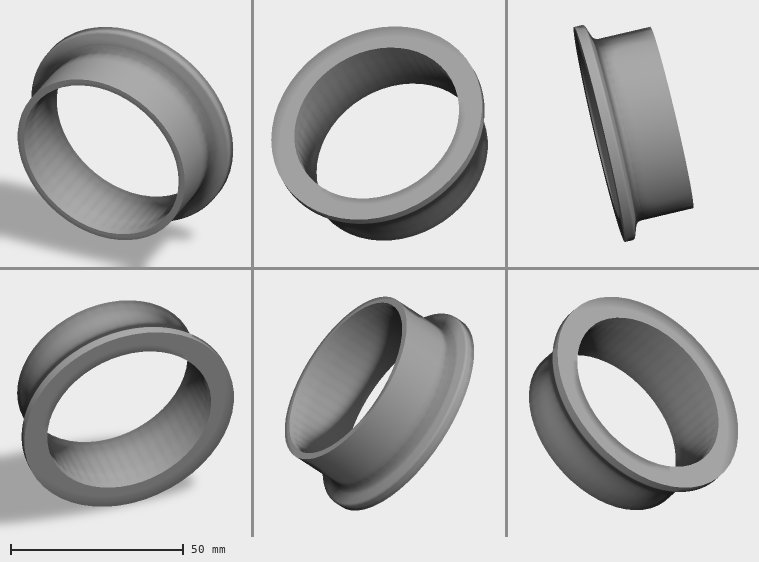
import cadquery as cq
import math

flange_diameter = 64.0
tube_diameter = 54.0
bore_diameter = 50.0
total_length = 21.5
rim_thickness = 2.9
taper_angle = 20.0
rim_fillet = 0.8
neck_fillet = 2.0

flange_radius = flange_diameter / 2
tube_radius = tube_diameter / 2
bore_radius = bore_diameter / 2

face_y = total_length / 2
end_y = -total_length / 2
rim_y = face_y - rim_thickness
taper_height = (flange_radius - tube_radius) * math.tan(math.radians(taper_angle))
neck_y = rim_y - taper_height


def make_body():
    """Revolve the wall section (radius along X, length along Y) about the Y axis."""
    section = (
        cq.Workplane("XY")
        .moveTo(bore_radius, end_y)
        .lineTo(tube_radius, end_y)
        .lineTo(tube_radius, neck_y)
        .lineTo(flange_radius, rim_y)
        .lineTo(flange_radius, face_y)
        .lineTo(bore_radius, face_y)
        .close()
    )
    return section.revolve(360, (0, 0, 0), (0, 1, 0))


def fillet_ring(body, radius, y, fillet_radius):
    """Round the circular edge of the given radius at position y along the axis."""
    margin = 0.05
    ring = cq.selectors.BoxSelector(
        (-radius - margin, y - margin, -radius - margin),
        (radius + margin, y + margin, radius + margin),
        boundingbox=True,
    )
    return body.edges("%CIRCLE").edges(ring).fillet(fillet_radius)


body = make_body()
body = fillet_ring(body, flange_radius, rim_y, rim_fillet)
result = fillet_ring(body, tube_radius, neck_y, neck_fillet)